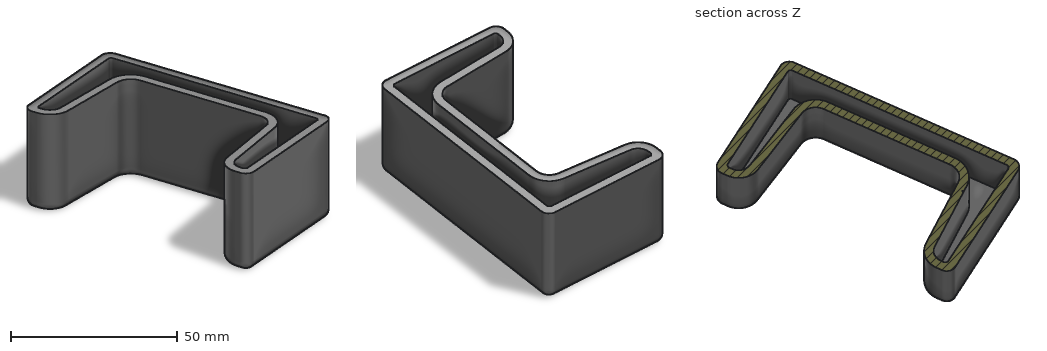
import cadquery as cq
import math

width = 81.0
depth = 46.0
height = 33.0

wall = 3.0
floor = wall
web_depth = 10.9
flange_root = 14.25
flange_slope = 0.08

corner_radius = 3.0
tip_radius = 7.05
root_radius = 5.0
bottom_radius = corner_radius

cavity_corner_radius = 1.0


def upright_edges_at(body, x, y):
    """Upright edges of the prism at one sharp corner."""
    reach = 0.1
    box = cq.selectors.BoxSelector(
        (x - reach, y - reach, 0),
        (x + reach, y + reach, height),
    )
    return body.edges("|Z").edges(box)


def channel(inset, base, side_radius):
    """U-shaped prism from base to the rim, with every wall moved inward by inset."""
    half_width = width / 2 - inset
    back = depth / 2 - inset
    front = -depth / 2 + inset
    web_front = depth / 2 - web_depth + inset

    slope_shift = inset * math.hypot(1, flange_slope)
    root_x = width / 2 - flange_root + slope_shift - flange_slope * inset
    tip_x = root_x + flange_slope * (web_front - front)

    corners = [
        (half_width, back, side_radius),
        (half_width, front, side_radius),
        (tip_x, front, tip_radius - inset),
        (root_x, web_front, root_radius + inset),
    ]
    right_half = [(x, y) for x, y, _ in corners]
    left_half = [(-x, y) for x, y in reversed(right_half)]
    body = (
        cq.Workplane("XY")
        .workplane(offset=base)
        .polyline(right_half + left_half)
        .close()
        .extrude(height - base)
    )

    for x, y, radius in corners:
        for side in (1, -1):
            body = upright_edges_at(body, side * x, y).fillet(radius)
    return body


shell = channel(0, 0, corner_radius).faces("<Z").edges().fillet(bottom_radius)
cavity = channel(wall, floor, cavity_corner_radius)
result = shell.cut(cavity)